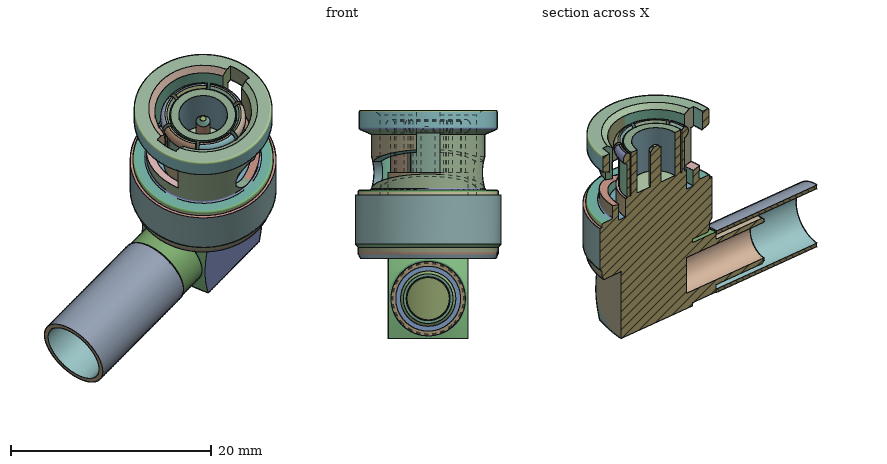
import cadquery as cq
import math


BLOCK_HALF = 4.0
BLOCK_BACK = 4.55
BLOCK_FRONT = -4.8
TURNED_FACE_RADIUS = 3.9
TURNED_CONE_ANGLE = 17.0

NECK_RADIUS = 3.65
NECK_CHAMFER = 0.1
FERRULE_START = -7.87
FERRULE_END = -20.9
FERRULE_RADIUS = 3.72
FERRULE_BORE_RADIUS = 3.25
SPIGOT_RADIUS = 2.75
SPIGOT_LENGTH = 6.2
SPIGOT_END = FERRULE_START - SPIGOT_LENGTH
SPIGOT_TIP_CHAMFER = 0.28
SPIGOT_BORE_RADIUS = 2.12
SPIGOT_BORE_CHAMFER = 0.08

GRIP_RADIUS = 7.3
GRIP_BAND_RADIUS = 7.02
GRIP_BOTTOM = BLOCK_HALF
GRIP_CONE_RISE = 0.5
GRIP_CONE_RUN = 0.25
GRIP_CONE_UPPER_FILLET = 0.55
GRIP_CONE_LOWER_FILLET = 0.1
GRIP_LOW = 5.13
GRIP_CHAMFER_RISE = 0.35
GRIP_HIGH = 10.38
GRIP_TOP = 10.85
GRIP_TOP_FILLET = 0.2
SLEEVE_RADIUS = 5.67
SLEEVE_ROOT_FILLET = 0.17
FLANGE_RADIUS = 6.9
FLANGE_CONE_BOTTOM = 16.4
FLANGE_CONE_TOP = 16.95
FLANGE_FILLET = 0.2
TOP = 18.85

NUT_BORE_RADIUS = 4.82
NUT_FLOOR = GRIP_HIGH
MOUTH_RADIUS = 5.45
MOUTH_DEPTH = 0.45

SLOT_WIDTH = 2.37
SLOT_OUTER_RADIUS = 6.0
RAMP_ANGLE = 15.0
LOCK_RADIUS = 1.6
LOCK_HEIGHT = 12.6

CORE_RADIUS = BLOCK_HALF
FINGER_FLOOR = 12.63
FINGER_RADIUS = 3.75
FINGER_BORE_RADIUS = 3.35
FINGER_COUNT = 6
FINGER_GAP = 0.37
FINGER_TIP = 17.94
BULGE_RADIUS = 4.25
BULGE_HEIGHT = 0.68
TIP_OUTER_RADIUS = 3.8
TIP_INNER_RADIUS = 3.6
TIP_CHAMFER = 0.23

INSULATOR_RADIUS = 3.25
INSULATOR_TOP = 17.8
INSULATOR_BORE_RADIUS = 2.43
PIN_RADIUS = 0.7
PIN_TIP_RADIUS = 0.3
PIN_TIP = 17.2
PIN_CONE = 0.45


def disc(radius, bottom, top):
    """Upright cylinder on the plug axis."""
    return cq.Workplane("XY").workplane(offset=bottom).circle(radius).extrude(top - bottom)


def rod(radius, start, end):
    """Cylinder on the cable axis, from Y = start toward the cable at Y = end."""
    return cq.Workplane("XZ", origin=(0, start, 0)).circle(radius).extrude(start - end)


def make_block():
    """Square elbow whose front and back corners are turned to a shallow cone."""
    width = 2 * BLOCK_HALF
    length = BLOCK_BACK - BLOCK_FRONT
    middle = (BLOCK_BACK + BLOCK_FRONT) / 2
    block = cq.Workplane("XY").box(width, length, width).translate((0, middle, 0))
    blank_radius = width
    setback = (blank_radius - TURNED_FACE_RADIUS) * math.tan(math.radians(TURNED_CONE_ANGLE))
    turned = (
        cq.Workplane("XY")
        .moveTo(0, BLOCK_FRONT)
        .lineTo(TURNED_FACE_RADIUS, BLOCK_FRONT)
        .lineTo(blank_radius, BLOCK_FRONT + setback)
        .lineTo(blank_radius, BLOCK_BACK - setback)
        .lineTo(TURNED_FACE_RADIUS, BLOCK_BACK)
        .lineTo(0, BLOCK_BACK)
        .close()
        .revolve(360, (0, 0, 0), (0, 1, 0))
    )
    return block.intersect(turned)


def make_cable_side():
    """Neck and crimp spigot, still without their bore."""
    neck = rod(NECK_RADIUS, 0, FERRULE_START).faces("<Y").chamfer(NECK_CHAMFER)
    spigot = rod(SPIGOT_RADIUS, FERRULE_START, SPIGOT_END).faces("<Y").chamfer(SPIGOT_TIP_CHAMFER)
    return neck.union(spigot)


def make_cable_bore():
    """Cutter for the spigot bore with its mouth chamfer; it stops at the core of the plug."""
    mouth_radius = SPIGOT_BORE_RADIUS + SPIGOT_BORE_CHAMFER
    mouth = (
        cq.Workplane("XZ", origin=(0, SPIGOT_END, 0))
        .circle(mouth_radius)
        .workplane(offset=-SPIGOT_BORE_CHAMFER)
        .circle(SPIGOT_BORE_RADIUS)
        .loft()
    )
    core = disc(CORE_RADIUS, -BLOCK_HALF, BLOCK_HALF)
    return rod(SPIGOT_BORE_RADIUS, 0, SPIGOT_END).union(mouth).cut(core)


def make_nut_shell():
    """Turned coupling nut with its bore, before the bayonet slots are cut."""
    grip_bottom = disc(GRIP_BAND_RADIUS, GRIP_BOTTOM, GRIP_LOW)
    grip_bottom = grip_bottom.faces("<Z").chamfer(GRIP_CONE_RISE, GRIP_CONE_RUN)
    grip_bottom = grip_bottom.faces("<Z").edges().fillet(GRIP_CONE_LOWER_FILLET)
    cone_top = cq.selectors.NearestToPointSelector((0, 0, GRIP_BOTTOM + GRIP_CONE_RISE))
    grip_bottom = grip_bottom.edges("%CIRCLE").edges(cone_top).fillet(GRIP_CONE_UPPER_FILLET)
    grip = disc(GRIP_RADIUS, GRIP_LOW, GRIP_HIGH)
    grip = grip.faces("<Z").chamfer(GRIP_CHAMFER_RISE, GRIP_RADIUS - GRIP_BAND_RADIUS)
    grip_top = disc(GRIP_BAND_RADIUS, GRIP_HIGH, GRIP_TOP).faces(">Z").fillet(GRIP_TOP_FILLET)
    upper = (
        cq.Workplane("XZ")
        .moveTo(0, GRIP_TOP)
        .lineTo(SLEEVE_RADIUS + SLEEVE_ROOT_FILLET, GRIP_TOP)
        .radiusArc((SLEEVE_RADIUS, GRIP_TOP + SLEEVE_ROOT_FILLET), SLEEVE_ROOT_FILLET)
        .lineTo(SLEEVE_RADIUS, FLANGE_CONE_BOTTOM)
        .lineTo(FLANGE_RADIUS, FLANGE_CONE_TOP)
        .lineTo(FLANGE_RADIUS, TOP)
        .lineTo(0, TOP)
        .close()
        .revolve(360, (0, 0, 0), (0, 1, 0))
    )
    flange_edges = cq.selectors.RadiusNthSelector(-1)
    upper = upper.edges("%CIRCLE").edges(flange_edges).fillet(FLANGE_FILLET)
    bore = (
        cq.Workplane("XZ")
        .moveTo(0, NUT_FLOOR)
        .lineTo(NUT_BORE_RADIUS, NUT_FLOOR)
        .lineTo(NUT_BORE_RADIUS, TOP - MOUTH_DEPTH)
        .lineTo(MOUTH_RADIUS, TOP)
        .lineTo(0, TOP)
        .close()
        .revolve(360, (0, 0, 0), (0, 1, 0))
    )
    return grip_bottom.union(grip).union(grip_top).union(upper).cut(bore)


def make_bayonet_slot():
    """Entry slot on the -Y side, ramp around the -X side and round lock hole at -X."""
    half = SLOT_WIDTH / 2
    slope = math.tan(math.radians(RAMP_ANGLE))
    ramp_rise = SLOT_WIDTH / math.cos(math.radians(RAMP_ANGLE))
    floor_at_axis = LOCK_HEIGHT - LOCK_RADIUS / math.cos(math.radians(RAMP_ANGLE))
    tangent_y = -LOCK_RADIUS * math.sin(math.radians(RAMP_ANGLE))
    reach = SLOT_OUTER_RADIUS

    def floor(y):
        return floor_at_axis - slope * y

    ramp = (
        cq.Workplane("YZ", origin=(-reach, 0, 0))
        .moveTo(tangent_y, floor(tangent_y))
        .lineTo(-reach, floor(-reach))
        .lineTo(-reach, floor(-reach) + ramp_rise)
        .lineTo(tangent_y, floor(tangent_y) + ramp_rise)
        .close()
        .extrude(reach + half)
    )
    lock = cq.Workplane("YZ", origin=(-reach, 0, LOCK_HEIGHT)).circle(LOCK_RADIUS).extrude(reach)
    entry = (
        cq.Workplane("YZ", origin=(-half, 0, 0))
        .moveTo(tangent_y, floor(tangent_y))
        .lineTo(-reach, floor(-reach))
        .lineTo(-reach, TOP)
        .lineTo(tangent_y, TOP)
        .close()
        .extrude(SLOT_WIDTH)
    )
    envelope = disc(SLOT_OUTER_RADIUS, GRIP_TOP, TOP)
    return ramp.union(lock).union(entry).intersect(envelope)


def make_nut():
    """Coupling nut with two bayonet slots on opposite sides."""
    nut = make_nut_shell()
    slot = make_bayonet_slot()
    for turn in (0, 180):
        nut = nut.cut(slot.rotate((0, 0, 0), (0, 0, 1), turn))
    return nut


def make_fingers():
    """Split spring ring with a bulged tip, standing on the core."""
    bulge_centre = FINGER_TIP - BULGE_HEIGHT
    bulge_bottom = bulge_centre - BULGE_HEIGHT
    ring = (
        cq.Workplane("XZ")
        .moveTo(FINGER_BORE_RADIUS, FINGER_FLOOR)
        .lineTo(FINGER_RADIUS, FINGER_FLOOR)
        .lineTo(FINGER_RADIUS, bulge_bottom)
        .threePointArc((BULGE_RADIUS, bulge_centre), (TIP_OUTER_RADIUS, FINGER_TIP))
        .lineTo(TIP_INNER_RADIUS, FINGER_TIP)
        .lineTo(FINGER_BORE_RADIUS, FINGER_TIP - TIP_CHAMFER)
        .close()
        .revolve(360, (0, 0, 0), (0, 1, 0))
    )
    gap = (
        cq.Workplane("XY", origin=(0, 0, FINGER_FLOOR))
        .rect(2 * NUT_BORE_RADIUS, FINGER_GAP)
        .extrude(FINGER_TIP - FINGER_FLOOR)
    )
    for i in range(FINGER_COUNT // 2):
        ring = ring.cut(gap.rotate((0, 0, 0), (0, 0, 1), i * 360 / FINGER_COUNT))
    return ring


def make_insulator():
    """Insulating sleeve inside the fingers."""
    body = disc(INSULATOR_RADIUS, FINGER_FLOOR, INSULATOR_TOP)
    return body.cut(disc(INSULATOR_BORE_RADIUS, FINGER_FLOOR, INSULATOR_TOP))


def make_pin():
    """Centre pin with a conical tip."""
    pin = disc(PIN_RADIUS, FINGER_FLOOR, PIN_TIP)
    return pin.faces(">Z").chamfer(PIN_CONE, PIN_RADIUS - PIN_TIP_RADIUS)


def make_connector():
    """Complete connector head with elbow, spigot, nut and contacts as one solid."""
    core = disc(CORE_RADIUS, 0, FINGER_FLOOR)
    connector = make_block().union(make_cable_side()).cut(make_cable_bore())
    connector = connector.union(core).union(make_nut())
    return connector.union(make_fingers()).union(make_insulator()).union(make_pin())


def make_ferrule():
    """Plain crimp tube that butts against the neck and leaves a gap around the spigot."""
    tube = rod(FERRULE_RADIUS, FERRULE_START, FERRULE_END)
    return tube.cut(rod(FERRULE_BORE_RADIUS, FERRULE_START, FERRULE_END))


connector = make_connector()
ferrule = make_ferrule()

result = cq.Compound.makeCompound([connector.val(), ferrule.val()])